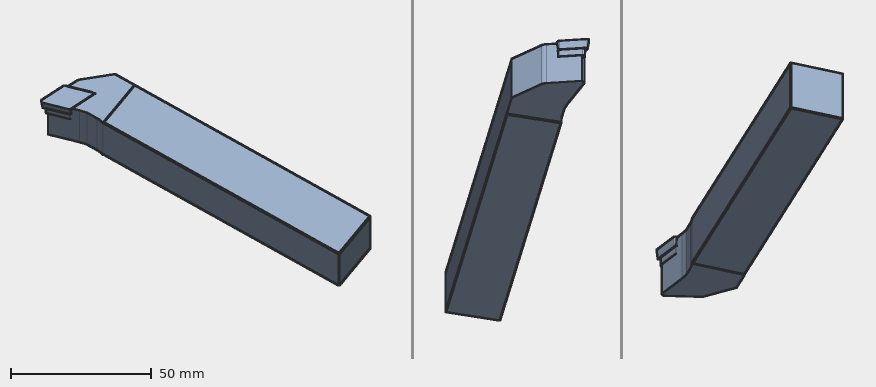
import cadquery as cq
import math

length = 125.0
back_y = 25.0
height = 20.0

shank_width = 20.0
shank_start_x = 23.5
shank_chamfer = 0.31
shank_front_y = back_y - shank_width

insert_edge = 11.6
insert_thickness = 3.9
tip_angle = 55.0
nose_radius = 0.8
clearance_angle = 7.0
edge_angle = 45.0 - tip_angle / 2
half_tip = math.radians(tip_angle / 2)
seat_z = height - insert_thickness

shim_thickness = 3.2
shim_near_inset = 0.78
shim_far_inset = 0.4

head_top_z = height - shank_chamfer
nose_left = (1.56, 2.5)
nose_front = (2.4, 1.31)
slope_end_x = 13.6
neck_start_x = 16.2
neck_end_x = 20.8
neck_y = 5.5
side_end_y = 14.5
bevel_start_y = 16.1
bevel_end_x = 15.1


def rhombus(near_inset=0.0, far_inset=0.0):
    """Sharp corners of the insert's outline, the edges at the nose and opposite it moved inward."""
    diagonal_run = math.sqrt(0.5) / math.sin(half_tip)
    sharp_tip = nose_radius * (1 - diagonal_run) + near_inset * diagonal_run
    edge = insert_edge - (near_inset + far_inset) / math.sin(2 * half_tip)
    long_run = edge * math.cos(math.radians(edge_angle))
    short_run = edge * math.sin(math.radians(edge_angle))
    near = sharp_tip
    far = sharp_tip + long_run + short_run
    return [
        (near, near),
        (near + long_run, near + short_run),
        (far, far),
        (near + short_run, near + long_run),
    ]


def make_insert_blank():
    """Sharp-cornered insert, narrowing downward by the clearance angle."""
    return (
        cq.Workplane("XY")
        .workplane(offset=height)
        .polyline(rhombus())
        .close()
        .extrude(-insert_thickness, taper=clearance_angle)
    )


def make_insert():
    """Insert with rounded corners whose radius shrinks downward with the clearance angle."""
    outline = (
        cq.Sketch()
        .polygon(rhombus() + rhombus()[:1])
        .vertices()
        .fillet(nose_radius)
    )
    return (
        cq.Workplane("XY")
        .workplane(offset=height)
        .placeSketch(outline)
        .extrude(-insert_thickness, taper=clearance_angle)
    )


def make_shank():
    return (
        cq.Workplane("XY")
        .box(length - shank_start_x, shank_width, height, centered=False)
        .translate((shank_start_x, shank_front_y, 0))
        .edges("not(<X and |Z)")
        .chamfer(shank_chamfer)
    )


def make_head():
    slope = math.tan(math.radians(edge_angle))
    slope_end = (slope_end_x, nose_front[1] + (slope_end_x - nose_front[0]) * slope)
    side_end = (nose_left[0] + (side_end_y - nose_left[1]) * slope, side_end_y)
    bevel_start = (bevel_end_x - (back_y - bevel_start_y), bevel_start_y)
    return (
        cq.Workplane("XY")
        .moveTo(*nose_front)
        .lineTo(*slope_end)
        .lineTo(neck_start_x, neck_y)
        .lineTo(neck_end_x, neck_y)
        .tangentArcPoint((shank_start_x, shank_front_y), relative=False)
        .lineTo(shank_start_x, back_y)
        .lineTo(bevel_end_x, back_y)
        .lineTo(*bevel_start)
        .tangentArcPoint(side_end, relative=False)
        .lineTo(*nose_left)
        .close()
        .extrude(head_top_z)
    )


def make_shim():
    return (
        cq.Workplane("XY")
        .workplane(offset=seat_z - shim_thickness)
        .polyline(rhombus(shim_near_inset, shim_far_inset))
        .close()
        .extrude(shim_thickness)
        .edges("|Z")
        .fillet(nose_radius)
    )


def make_holder():
    """Shank, head and shim, with a sharp-cornered seat for the insert."""
    return make_shank().union(make_head()).union(make_shim()).cut(make_insert_blank())


holder = make_holder()
insert = make_insert()

result = cq.Compound.makeCompound([holder.solids().val(), insert.val()])